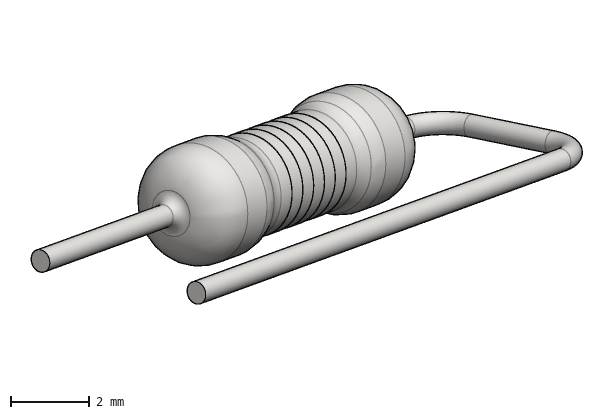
import cadquery as cq
import math

total_length = 17.1
lead_dia = 0.6
lead_pitch = 5.0
bend_radius = 1.2

cap_dia = 3.2
barrel_dia = 2.72
band_dia = 2.74
body_length = 9.01
body_centre_y = 10.09
cap_straight = 0.82
fillet_radius = 0.3
stripe_width = 0.46
stripe_count = 7

lead_r = lead_dia / 2
cap_r = cap_dia / 2
barrel_r = barrel_dia / 2
half_barrel = stripe_count * stripe_width / 2
flare_mid = half_barrel + stripe_width
flare_end = flare_mid + stripe_width
dome_start = flare_end + cap_straight
half_body = body_length / 2
fillet_end = half_body + fillet_radius
fillet_base_r = lead_r + fillet_radius
mid_r = (barrel_r + cap_r) / 2
dome_height = half_body - dome_start
dome_width = cap_r - fillet_base_r


def make_half_body(side):
    """Half of the revolved body: barrel, flare, domed cap and lead fillet; side is +1 or -1."""
    def at(radius, axial):
        return (radius, body_centre_y + side * axial)

    diagonal = math.sqrt(0.5)
    dome_mid = at(fillet_base_r + dome_width * diagonal, dome_start + dome_height * diagonal)
    fillet_mid = at(fillet_base_r - fillet_radius * diagonal, fillet_end - fillet_radius * diagonal)
    profile = (
        cq.Workplane("XY")
        .moveTo(*at(0, 0))
        .lineTo(*at(barrel_r, 0))
        .lineTo(*at(barrel_r, half_barrel))
        .tangentArcPoint(at(mid_r, flare_mid), relative=False)
        .tangentArcPoint(at(cap_r, flare_end), relative=False)
        .lineTo(*at(cap_r, dome_start))
        .threePointArc(dome_mid, at(fillet_base_r, half_body))
        .threePointArc(fillet_mid, at(lead_r, fillet_end))
        .lineTo(*at(0, fillet_end))
        .close()
    )
    return profile.revolve(360, (0, 0, 0), (0, 1, 0))


def make_band(stripe):
    """Colour band standing slightly proud of one stripe of the barrel."""
    start_y = body_centre_y - half_barrel + stripe * stripe_width
    return cq.Workplane("XZ", origin=(0, start_y, 0)).circle(band_dia / 2).extrude(-stripe_width)


def make_lead():
    """One wire through the body axis, bent over and brought back alongside the body."""
    top_y = total_length - lead_r
    bend_y = top_y - bend_radius
    path = (
        cq.Workplane("XY")
        .lineTo(0, bend_y)
        .radiusArc((bend_radius, top_y), bend_radius)
        .lineTo(lead_pitch - bend_radius, top_y)
        .radiusArc((lead_pitch, bend_y), bend_radius)
        .lineTo(lead_pitch, 0)
    )
    return cq.Workplane("XZ").circle(lead_r).sweep(path)


result = make_half_body(1).union(make_half_body(-1)).union(make_lead())
for stripe in range(1, stripe_count, 2):
    result = result.union(make_band(stripe))